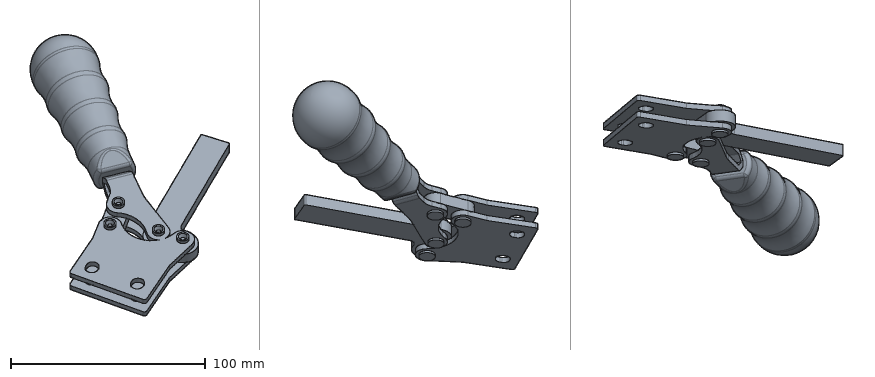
import cadquery as cq
import math


core_thickness = 6.2
plate_thickness = 3.0
inner_z = core_thickness / 2
outer_z = inner_z + plate_thickness

link_base_pivot = (4.1, 39.3)
link_handle_pivot = (1.2, 54.8)
arm_handle_pivot = (28.2, 46.5)
arm_base_pivot = (41.8, 47.3)
pivots = [link_base_pivot, link_handle_pivot, arm_handle_pivot, arm_base_pivot]

base_width = 44.0
base_straight_height = 27.5
base_corner_radius = 1.5
base_lobe_radius = 6.0
cradle_center = (20.8, 53.3)
mount_hole_spacing = 26.0
mount_hole_y = 8.8
mount_hole_width = 6.8
mount_hole_height = 7.7

link_radius = 5.9
arm_lobe_radius = 8.0
arm_length = 74.5
arm_end_radius = 0.8
arm_inner_fillet = 3.5

handle_lobe_radius = 6.2
handle_tip_radius = 5.9
handle_edge_angle = 33.7
handle_flank_angle = 80.0
tip_edge_angle = 45.0
finger_center = (9.4, 33.1)
upper_bend_radius = 24.2
flank_bend_radius = 9.0
neck_half_width = 7.3
neck_bend_start = 86.5
neck_bend_radius = 3.5
neck_bend_angle = 40.0

grip_center = (-68.1, 133.0)
grip_angle = 44.7
grip_ball_radius = 18.0
groove_pitch = 18.9
groove_count = 4
ball_end_x = 1.5
first_groove_start = 3.2
groove_lead = 10.7
groove_bottom = 13.3
groove_bottom_radius = 16.2
grip_end_radius = 11.5
groove_radius_step = (groove_bottom_radius - grip_end_radius) / (groove_count - 1)
groove_arc_radius = 31.1
crest_width = 3.0
crest_bulge = 0.2
grip_length = 80.2
grip_end_fillet = 2.3
flat_start = 71.3
flat_end_z = 6.5

rivet_radius = 3.2
rivet_height = 1.8
rivet_head_radius = 4.2
rivet_head_height = 1.2
rivet_hole_radius = 2.3
rivet_hole_depth = 3.8


def polar(center, radius, degrees):
    """Point at an angle and distance from a centre."""
    a = math.radians(degrees)
    return (center[0] + radius * math.cos(a), center[1] + radius * math.sin(a))


def bearing(start, end):
    """Direction in degrees from one point to another."""
    return math.degrees(math.atan2(end[1] - start[1], end[0] - start[0]))


def tangent_angle(point, center, radius, side):
    """Angle on a circle where the line from an outside point touches it."""
    half = math.degrees(math.acos(radius / math.dist(point, center)))
    return bearing(center, point) + side * half


def line_crossing(p, p_degrees, q, q_degrees):
    """Crossing of two lines, each given by a point and a direction."""
    dp = polar((0, 0), 1, p_degrees)
    dq = polar((0, 0), 1, q_degrees)
    cross = dp[0] * dq[1] - dp[1] * dq[0]
    t = ((q[0] - p[0]) * dq[1] - (q[1] - p[1]) * dq[0]) / cross
    return (p[0] + t * dp[0], p[1] + t * dp[1])


def arc(sketch, center, radius, start, end):
    """Continue an outline along a circle from one angle to another."""
    middle = polar(center, radius, (start + end) / 2)
    return sketch.threePointArc(middle, polar(center, radius, end))


def fillet_corner(body, point, radius):
    """Round the vertical edge that passes through a point."""
    picker = cq.selectors.NearestToPointSelector((point[0], point[1], 0))
    return body.edges("|Z").edges(picker).fillet(radius)


def extrude_core(sketch):
    return sketch.extrude(core_thickness / 2, both=True)


def make_base_plates():
    left, right = link_base_pivot, arm_base_pivot
    r = base_lobe_radius
    left_corner = (0, base_straight_height)
    right_corner = (base_width, base_straight_height)
    right_start = tangent_angle(right_corner, right, r, 1)
    right_end = bearing(right, cradle_center)
    left_start = bearing(left, cradle_center)
    left_end = tangent_angle(left_corner, left, r, -1) % 360
    cradle_radius = math.dist(right, cradle_center) - r

    outline = cq.Workplane("XY").polyline(
        [(0, 0), (base_width, 0), right_corner, polar(right, r, right_start)]
    )
    outline = arc(outline, right, r, right_start, right_end)
    outline = arc(outline, cradle_center, cradle_radius, right_end - 180, left_start - 180)
    outline = outline.lineTo(*polar(left, r, left_start))
    outline = arc(outline, left, r, left_start, left_end).lineTo(*left_corner).close()
    plates = outline.extrude(outer_z, both=True)
    for corner in [(0, 0), (base_width, 0)]:
        plates = fillet_corner(plates, corner, base_corner_radius)

    hole_x = [(base_width + side * mount_hole_spacing) / 2 for side in (-1, 1)]
    holes = (
        cq.Workplane("XY")
        .pushPoints([(x, mount_hole_y) for x in hole_x])
        .slot2D(mount_hole_height, mount_hole_width, 90)
        .extrude(outer_z, both=True)
    )
    gap_size = 4 * base_width
    gap = cq.Workplane("XY").box(gap_size, gap_size, core_thickness)
    return plates.cut(holes).cut(gap)


def make_link():
    length = math.dist(link_base_pivot, link_handle_pivot)
    body = extrude_core(cq.Workplane("XY").slot2D(length + 2 * link_radius, 2 * link_radius))
    body = body.translate((length / 2, 0, 0))
    body = body.rotate((0, 0, 0), (0, 0, 1), bearing(link_base_pivot, link_handle_pivot))
    return body.translate((*link_base_pivot, 0))


def make_arm():
    span = math.dist(arm_handle_pivot, arm_base_pivot)
    r = arm_lobe_radius
    foot = extrude_core(cq.Workplane("XY").slot2D(span + 2 * r, 2 * r)).translate((span / 2, 0, 0))
    bar = extrude_core(cq.Workplane("XY").rect(2 * r, arm_length, centered=(True, False)))
    bar = bar.edges("|Z and >Y").fillet(arm_end_radius)
    body = foot.union(bar)
    inner_corner = (r, math.sqrt(r**2 - (span - r) ** 2))
    body = fillet_corner(body, inner_corner, arm_inner_fillet)
    body = body.rotate((0, 0, 0), (0, 0, 1), bearing(arm_handle_pivot, arm_base_pivot))
    return body.translate((*arm_handle_pivot, 0))


def make_handle_outline():
    lobe, tip = link_handle_pivot, arm_handle_pivot
    lobe_r, tip_r = handle_lobe_radius, handle_tip_radius
    axis = -grip_angle
    neck_end = polar(grip_center, grip_length - grip_end_fillet, axis)
    neck_upper = polar(neck_end, neck_half_width, axis + 90)
    neck_lower = polar(neck_end, neck_half_width, axis - 90)

    tip_start = 90 - handle_edge_angle
    tip_end = -90 - tip_edge_angle
    tip_touch = polar(tip, tip_r, tip_start)
    upper_corner = line_crossing(neck_upper, axis, tip_touch, -handle_edge_angle)

    finger_r = math.dist(lobe, finger_center) - lobe_r
    finger_start = 90 - tip_edge_angle
    finger_end = bearing(finger_center, lobe)

    flank_end = -90 - handle_flank_angle
    lobe_touch = polar(lobe, lobe_r, flank_end)
    lower_corner = line_crossing(neck_lower, axis, lobe_touch, -handle_flank_angle)

    outline = cq.Workplane("XY").polyline([neck_upper, upper_corner, tip_touch])
    outline = arc(outline, tip, tip_r, tip_start, tip_end)
    outline = outline.lineTo(*polar(finger_center, finger_r, finger_start))
    outline = arc(outline, finger_center, finger_r, finger_start, finger_end)
    outline = arc(outline, lobe, lobe_r, finger_end - 180, flank_end)
    outline = outline.lineTo(*lower_corner).lineTo(*neck_lower).close()
    body = outline.extrude(outer_z, both=True)
    body = fillet_corner(body, upper_corner, upper_bend_radius)
    return fillet_corner(body, lower_corner, flank_bend_radius)


def place_along_grip(body):
    """Turn a body from the +X axis onto the grip axis."""
    return body.rotate((0, 0, 0), (0, 0, 1), -grip_angle).translate((*grip_center, 0))


def make_handle_plates():
    far = 2 * neck_bend_start
    slope = math.tan(math.radians(neck_bend_angle))
    bend_center = (neck_bend_start, outer_z - neck_bend_radius)
    inner_radius = neck_bend_radius - plate_thickness
    bend_end = 90 + neck_bend_angle
    outer_end = polar(bend_center, neck_bend_radius, bend_end)
    inner_end = polar(bend_center, inner_radius, bend_end)
    axis_outer = (outer_end[0] - outer_end[1] / slope, 0)
    axis_inner = (inner_end[0] - inner_end[1] / slope, 0)

    side = cq.Workplane("XZ").moveTo(far, outer_z).lineTo(neck_bend_start, outer_z)
    side = arc(side, bend_center, neck_bend_radius, 90, bend_end)
    side = side.lineTo(*axis_outer).lineTo(*axis_inner).lineTo(*inner_end)
    side = arc(side, bend_center, inner_radius, bend_end, 90).lineTo(far, inner_z).close()
    upper = side.extrude(far, both=True)
    sheet = place_along_grip(upper.union(upper.mirror("XY")))
    return make_handle_outline().intersect(sheet)


def make_grip():
    def groove_radius_at(index, offset):
        """Groove radius at a distance along the axis from its bottom."""
        bottom = groove_bottom_radius - index * groove_radius_step
        return bottom + groove_arc_radius - math.sqrt(groove_arc_radius**2 - offset**2)

    lead = -groove_lead
    tail = groove_pitch - crest_width - groove_lead
    ball_end_angle = math.degrees(math.acos(ball_end_x / grip_ball_radius))
    profile = cq.Workplane("XZ").moveTo(-grip_ball_radius, 0)
    profile = arc(profile, (0, 0), grip_ball_radius, 180, ball_end_angle)
    profile = profile.lineTo(first_groove_start, groove_radius_at(0, first_groove_start - groove_bottom))
    for i in range(groove_count - 1):
        bottom_x = groove_bottom + i * groove_pitch
        crest_start = (bottom_x + tail, groove_radius_at(i, tail))
        crest_end = (crest_start[0] + crest_width, groove_radius_at(i + 1, lead))
        crest_radius = max(crest_start[1], crest_end[1]) + crest_bulge
        crest_top = (crest_start[0] + crest_width / 2, crest_radius)
        profile = profile.threePointArc((bottom_x, groove_radius_at(i, 0)), crest_start)
        profile = profile.threePointArc(crest_top, crest_end)
    last = groove_count - 1
    last_bottom = groove_bottom + last * groove_pitch
    profile = profile.threePointArc(
        (last_bottom + lead / 2, groove_radius_at(last, lead / 2)), (last_bottom, grip_end_radius)
    )
    profile = profile.lineTo(grip_length, grip_end_radius).lineTo(grip_length, 0).close()
    body = profile.revolve(360, (0, 0, 0), (1, 0, 0))

    wedge = (
        cq.Workplane("XZ")
        .moveTo(flat_start, grip_end_radius)
        .lineTo(grip_length, flat_end_z)
        .lineTo(grip_length, grip_end_radius)
        .close()
        .extrude(grip_end_radius, both=True)
    )
    body = body.cut(wedge).cut(wedge.mirror("XY"))
    body = body.faces("%PLANE").edges().fillet(grip_end_fillet)
    return place_along_grip(body)


def make_rivet():
    shank = cq.Workplane("XY").workplane(offset=-outer_z).circle(rivet_radius)
    body = shank.extrude(2 * outer_z + rivet_height)
    head = cq.Workplane("XY").workplane(offset=-outer_z).circle(rivet_head_radius)
    body = body.union(head.extrude(-rivet_head_height))
    recess_tip = cq.Vector(0, 0, outer_z + rivet_height - rivet_hole_depth)
    recess = cq.Solid.makeCone(0, rivet_hole_radius, rivet_hole_depth, recess_tip)
    return body.cut(cq.Workplane(recess))


result = make_base_plates().union(make_link()).union(make_arm()).union(make_handle_plates())
result = result.union(make_grip())
rivet = make_rivet()
for pivot in pivots:
    result = result.union(rivet.translate((*pivot, 0)))